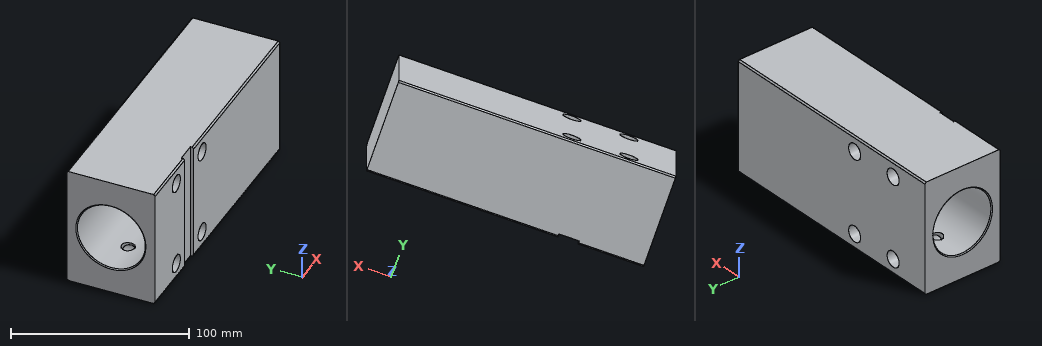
import cadquery as cq

length = 165.0
depth = 55.0
height = 75.0
edge_chamfer = 1.0

bore_diameter = 42.0
mouth_chamfer = 0.7
bore_depth = 132.0
recess_diameter = 32.0
recess_depth = 9.9

keyway_start = 39.0
keyway_width = 12.0
keyway_depth = 2.0

bolt_diameter = 10.5
bolt_spacing_x = 34.0
bolt_spacing_z = 55.0
first_bolt_x = 28.0

drilling_diameter = 8.0
drilling_x = 23.0
drilling_end = bolt_spacing_z / 2


def block():
    body = cq.Workplane("XY").box(length, depth, height, centered=(False, True, True))
    return body.edges("|X").chamfer(edge_chamfer)


def stepped_bore():
    bore_radius = bore_diameter / 2
    mouth_radius = bore_radius + mouth_chamfer
    recess_radius = recess_diameter / 2
    recess_end = bore_depth + recess_depth
    half_section = [
        (0, 0),
        (0, mouth_radius),
        (mouth_chamfer, bore_radius),
        (bore_depth, bore_radius),
        (bore_depth, recess_radius),
        (recess_end, recess_radius),
        (recess_end, 0),
    ]
    return cq.Workplane("XY").polyline(half_section).close().revolve(360, (0, 0), (1, 0))


def keyway():
    slot = cq.Workplane("XY").box(keyway_width, keyway_depth, height, centered=(False, False, True))
    return slot.translate((keyway_start, -depth / 2, 0))


def bolt_holes():
    return (
        cq.Workplane("XZ", origin=(first_bolt_x + bolt_spacing_x / 2, depth / 2, 0))
        .rarray(bolt_spacing_x, bolt_spacing_z, 2, 2)
        .circle(bolt_diameter / 2)
        .extrude(depth)
    )


def drilling():
    return cq.Workplane("XY").center(drilling_x, 0).circle(drilling_diameter / 2).extrude(-drilling_end)


result = (
    block()
    .cut(stepped_bore())
    .cut(keyway())
    .cut(bolt_holes())
    .cut(drilling())
)